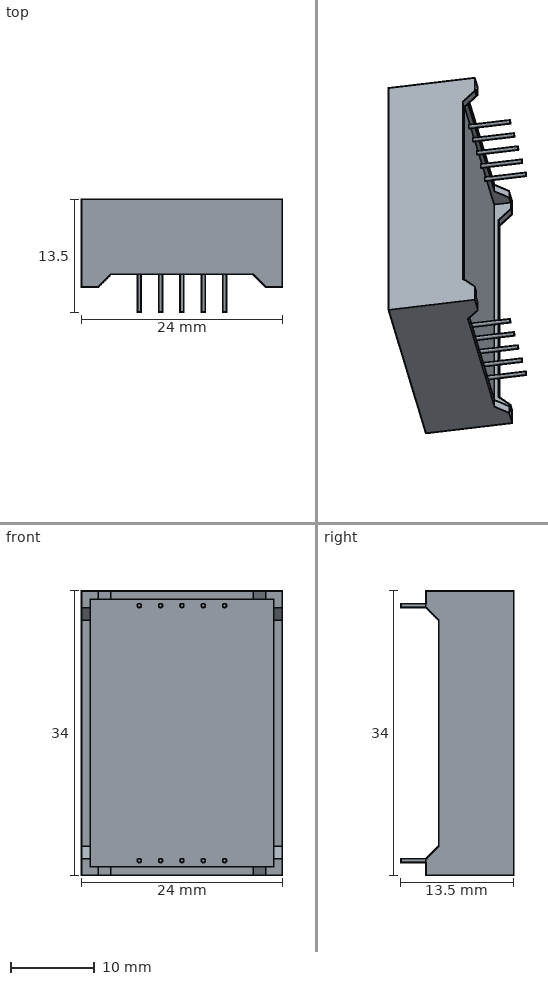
import cadquery as cq

width = 24.0
height = 34
total_depth = 13.5
case_depth = 10.5
wall = 1.02
floor_recess = 0.5

foot_length = 2.0
foot_rise = 1.5

pin_diameter = 0.48
pin_pitch = 2.55
pins_per_row = 5
row_spacing = 30.45

closed_face_y = total_depth / 2
feet_y = closed_face_y - case_depth
rim_y = feet_y + foot_rise
floor_y = rim_y + floor_recess
pin_tip_y = -total_depth / 2


def centred_block(size_x, size_z, start_y, end_y):
    """Rectangular block centred in X and Z, spanning start_y to end_y."""
    block = cq.Workplane("XY").box(size_x, end_y - start_y, size_z)
    return block.translate((0, (start_y + end_y) / 2, 0))


def rim_notch_outline(side_length):
    """Trapezoid between two feet, as (position along the side, Y) points."""
    mouth_half = side_length / 2 - foot_length
    base_half = mouth_half - foot_rise
    return [(-mouth_half, feet_y), (-base_half, rim_y), (base_half, rim_y), (mouth_half, feet_y)]


def end_wall_notches():
    """Prism along Z that lowers the rim of the top and bottom walls."""
    outline = rim_notch_outline(width)
    return cq.Workplane("XY").polyline(outline).close().extrude(height / 2, both=True)


def side_wall_notches():
    """Prism along X that lowers the rim of the left and right walls."""
    outline = [(y, z) for z, y in rim_notch_outline(height)]
    return cq.Workplane("YZ").polyline(outline).close().extrude(width / 2, both=True)


def pins():
    """Both rows of pins, from the floor out to the pin tips."""
    floor_plane = cq.Workplane("XZ", origin=(0, floor_y, 0))
    centres = floor_plane.rarray(pin_pitch, row_spacing, pins_per_row, 2)
    return centres.circle(pin_diameter / 2).extrude(floor_y - pin_tip_y)


case = centred_block(width, height, feet_y, closed_face_y)
case = case.cut(centred_block(width - 2 * wall, height - 2 * wall, feet_y, floor_y))
case = case.cut(end_wall_notches())
case = case.cut(side_wall_notches())

result = case.union(pins())